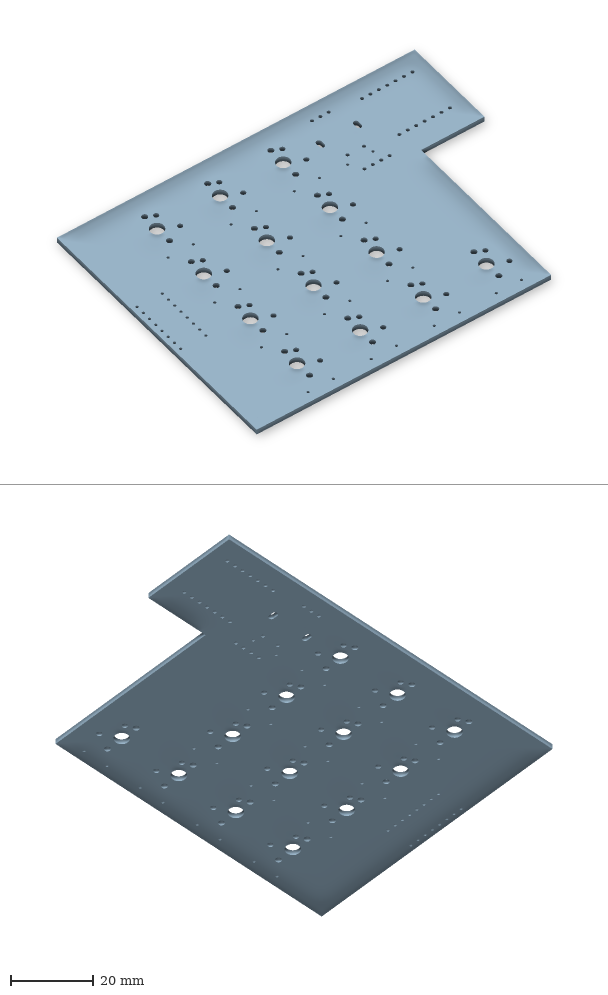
import cadquery as cq

board_width = 81.5
board_height = 108.0
board_thickness = 1.6
tab_width = 28.5
shoulder_height = 88.9

key_columns = 4
key_rows = 4
key_pitch = 57.1 / (key_columns - 1)
pin_pitch = key_pitch / 7.5
first_key_x = 12.0
first_key_y = 21.4

post_offset = 2 * pin_pitch
left_pin_x = -1.5 * pin_pitch
left_pin_y = pin_pitch
right_pin_x = pin_pitch
right_pin_y = 2 * pin_pitch

switch_center_diameter = 4.0
switch_post_diameter = 1.7
switch_pin_diameter = 1.5
header_pin_diameter = 1.0
chip_pin_diameter = 0.8
diode_pin_diameter = 0.79

diode_offset_x = 9.5
diode_rise = 0.1
top_row_diode_drop = 0.2
diode_span = 3 * pin_pitch

encoder_x = 12.3
encoder_y = 76.0
encoder_pin_pitch = 2.5
encoder_signal_pins = 3
encoder_switch_pins = 2
encoder_signal_offset = 7.6
encoder_switch_offset = 6.9
encoder_slot_span = 11.2
encoder_slot_length = 2.8
encoder_slot_width = 1.5
encoder_diode_x = 21.9
encoder_diode_y = 75.4

controller_x = 5.8
controller_y = 87.8
controller_pins = 7
controller_span = 6 * pin_pitch

display_x = 25.5
display_y = 74.0
display_pins = 4

chip_x = 30.6
chip_y = 1.6
chip_pins = 8
chip_span = 3 * pin_pitch


def row_points(x, y, count):
    return [(x + i * pin_pitch, y) for i in range(count)]


def column_points(x, y, count, pitch=pin_pitch):
    return [(x, y + i * pitch) for i in range(count)]


def diode_points(x, y):
    """Two leads, one above and one below the diode center."""
    return column_points(x, y - diode_span / 2, 2, diode_span)


def drill(board, points, diameter):
    cutters = (
        cq.Workplane("XY")
        .pushPoints(points)
        .circle(diameter / 2)
        .extrude(board_thickness)
    )
    return board.cut(cutters)


def make_board():
    return (
        cq.Workplane("XY")
        .polyline([
            (0, 0),
            (board_width, 0),
            (board_width, shoulder_height),
            (tab_width, shoulder_height),
            (tab_width, board_height),
            (0, board_height),
        ])
        .close()
        .extrude(board_thickness)
    )


def cut_keys(board):
    """Full rows of keys, except that the top row has only its last key."""
    centers = []
    posts = []
    pins = []
    diodes = []
    for row in range(key_rows):
        is_top_row = row == key_rows - 1
        first_column = key_columns - 1 if is_top_row else 0
        diode_shift = -top_row_diode_drop if is_top_row else diode_rise
        y = first_key_y + row * key_pitch
        for column in range(first_column, key_columns):
            x = first_key_x + column * key_pitch
            centers.append((x, y))
            posts += [(x - post_offset, y), (x + post_offset, y)]
            pins += [(x + left_pin_x, y + left_pin_y), (x + right_pin_x, y + right_pin_y)]
            diodes += diode_points(x + diode_offset_x, y + diode_shift)
    board = drill(board, centers, switch_center_diameter)
    board = drill(board, posts, switch_post_diameter)
    board = drill(board, pins, switch_pin_diameter)
    return drill(board, diodes, diode_pin_diameter)


def cut_encoder(board):
    signal_x = encoder_x - encoder_signal_offset
    switch_x = encoder_x + encoder_switch_offset
    lower_pin_y = encoder_y - encoder_pin_pitch
    pins = column_points(signal_x, lower_pin_y, encoder_signal_pins, encoder_pin_pitch)
    pins += column_points(switch_x, lower_pin_y, encoder_switch_pins, 2 * encoder_pin_pitch)
    board = drill(board, pins, header_pin_diameter)
    slot_centers = column_points(encoder_x, encoder_y - encoder_slot_span / 2, 2, encoder_slot_span)
    slots = (
        cq.Workplane("XY")
        .pushPoints(slot_centers)
        .slot2D(encoder_slot_length, encoder_slot_width)
        .extrude(board_thickness)
    )
    board = board.cut(slots)
    return drill(board, diode_points(encoder_diode_x, encoder_diode_y), diode_pin_diameter)


def cut_headers(board):
    pins = column_points(controller_x, controller_y, controller_pins)
    pins += column_points(controller_x + controller_span, controller_y, controller_pins)
    pins += column_points(display_x, display_y, display_pins)
    return drill(board, pins, header_pin_diameter)


def cut_chip(board):
    pins = row_points(chip_x, chip_y, chip_pins)
    pins += row_points(chip_x, chip_y + chip_span, chip_pins)
    return drill(board, pins, chip_pin_diameter)


result = make_board()
result = cut_keys(result)
result = cut_encoder(result)
result = cut_headers(result)
result = cut_chip(result)